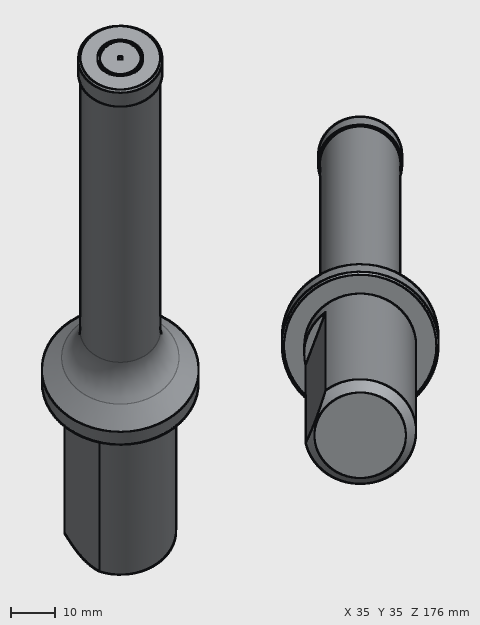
import cadquery as cq
import math

total_length = 176.0

shank_radius = 25.0 / 2
shank_length = 56.1
shank_chamfer = 2.3
flat_distance = 10.5
flat_length = 51.4

flange_radius = 35.0 / 2
flange_thickness = 5.3
flange_chamfer = 0.5
neck_radius = 18.0 / 2
blend_radius = 14.0
cone_angle = math.radians(45)

head_radius = 18.8 / 2
head_length = 5.6
head_chamfer = 0.5
groove_inner_radius = 4.5
groove_width = 0.5
groove_depth = 0.4
center_dimple_radius = 0.5

flange_top = shank_length + flange_thickness
head_bottom = total_length - head_length
cone_top_radius = neck_radius + blend_radius * (1 - math.cos(cone_angle))
cone_top = flange_top + (flange_radius - cone_top_radius) / math.tan(cone_angle)
blend_top = cone_top + blend_radius * math.sin(cone_angle)


def blend_point(angle):
    """Point on the concave blend arc, at an angle below its top end."""
    radius = neck_radius + blend_radius * (1 - math.cos(angle))
    return radius, blend_top - blend_radius * math.sin(angle)


def make_holder():
    """Shank, flange and neck in one revolved body, with a clamping flat on the -Y side."""
    profile = (
        cq.Workplane("XZ")
        .moveTo(0, 0)
        .lineTo(shank_radius - shank_chamfer, 0)
        .lineTo(shank_radius, shank_chamfer)
        .lineTo(shank_radius, shank_length)
        .lineTo(flange_radius - flange_chamfer, shank_length)
        .lineTo(flange_radius, shank_length + flange_chamfer)
        .lineTo(flange_radius, flange_top)
        .lineTo(cone_top_radius, cone_top)
        .threePointArc(blend_point(cone_angle / 2), blend_point(0))
        .lineTo(neck_radius, head_bottom)
        .lineTo(0, head_bottom)
        .close()
    )
    holder = profile.revolve(360, (0, 0, 0), (0, 1, 0))

    flat_cutter = cq.Workplane("XY").box(
        2 * shank_radius, shank_radius, flat_length, centered=(True, False, False)
    ).translate((0, -flat_distance - shank_radius, 0))
    return holder.cut(flat_cutter)


def make_cutting_head():
    """Disc on the end of the neck, with a fine ring groove and a center dimple in its face."""
    head = (
        cq.Workplane("XY", origin=(0, 0, head_bottom))
        .circle(head_radius)
        .extrude(head_length)
        .faces(">Z")
        .chamfer(head_chamfer)
    )
    groove = (
        cq.Workplane("XY", origin=(0, 0, total_length))
        .circle(groove_inner_radius + groove_width)
        .circle(groove_inner_radius)
        .extrude(-groove_depth)
    )
    dimple = (
        cq.Workplane("XY", origin=(0, 0, total_length))
        .circle(center_dimple_radius)
        .extrude(-groove_depth)
    )
    return head.cut(groove).cut(dimple)


holder = make_holder()
cutting_head = make_cutting_head()
result = cq.Compound.makeCompound([holder.val(), cutting_head.val()])